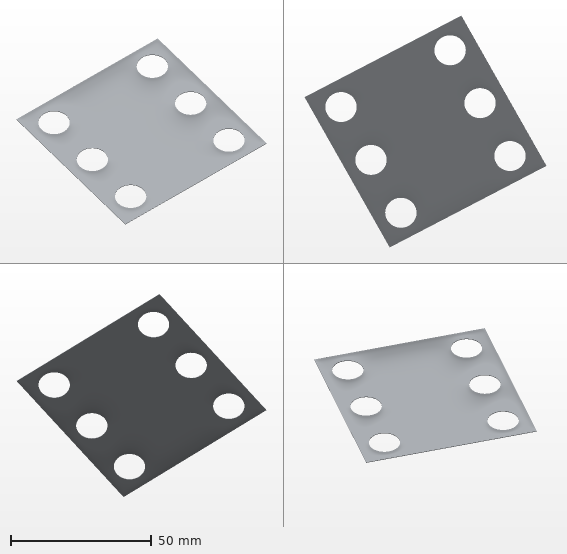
import cadquery as cq

side = 63.5
thickness = 0.25

hole_diameter = 11.2
holes_per_row = 3
row_count = 2
hole_pitch = 22.35
row_spacing = 44.2

sheet = cq.Workplane("XY").box(side, side, thickness, centered=(True, True, False))

result = (
    sheet.faces(">Z")
    .workplane()
    .rarray(hole_pitch, row_spacing, holes_per_row, row_count)
    .hole(hole_diameter)
)